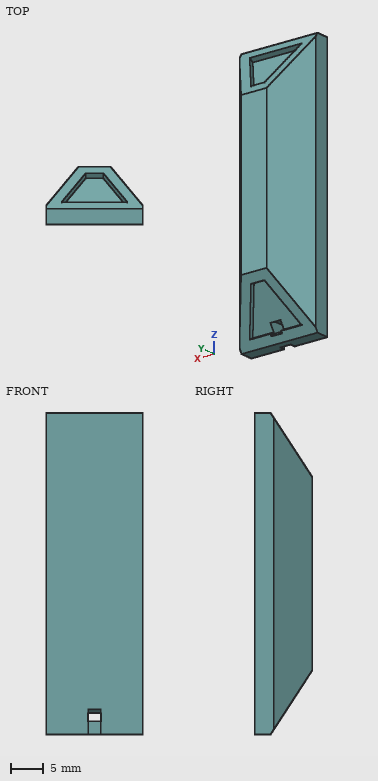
import cadquery as cq
import math

length = 50
width = 15
thickness = 9
side_height = 3
ridge_width = 5

end_height = 2.5
end_run = 10

recess_margin = 1.8
recess_depth = 0.95

groove_width = 2
groove_depth = 1
loop_inner_radius = 2.1
loop_outer_radius = 3.9
loop_center_y = 1.5


def bar_body():
    """Cross-section along Z, with both ends cut to the slope."""
    cross_section = [
        (-width / 2, 0),
        (width / 2, 0),
        (width / 2, side_height),
        (ridge_width / 2, thickness),
        (-ridge_width / 2, thickness),
        (-width / 2, side_height),
    ]
    side_outline = [
        (0, 0),
        (end_height, 0),
        (thickness, end_run),
        (thickness, length - end_run),
        (end_height, length),
        (0, length),
    ]
    bar = cq.Workplane("XY").polyline(cross_section).close().extrude(length)
    side_block = cq.Workplane("YZ").polyline(side_outline).close().extrude(width / 2, both=True)
    return bar.intersect(side_block)


def top_recess():
    """Trapezoid recess, square to the sloped top end face."""
    end_rise = thickness - end_height
    slope_length = math.hypot(end_rise, end_run)
    slope_stretch = slope_length / end_rise

    side_taper = (width - ridge_width) / 2 / (thickness - side_height) / slope_stretch
    side_inset = recess_margin * math.hypot(1, side_taper)

    low = recess_margin
    high = slope_length - recess_margin
    low_half_width = ridge_width / 2 + (slope_length - low) * side_taper - side_inset
    high_half_width = ridge_width / 2 + (slope_length - high) * side_taper - side_inset

    end_plane = cq.Plane(
        origin=(0, end_height, length),
        xDir=(1, 0, 0),
        normal=(0, end_run, end_rise),
    )
    outline = [
        (-low_half_width, low),
        (low_half_width, low),
        (high_half_width, high),
        (-high_half_width, high),
    ]
    return cq.Workplane(end_plane).polyline(outline).close().extrude(-recess_depth)


def loop_passage():
    """Front groove that runs into a hole curving back to the bottom recess."""
    groove = cq.Workplane("XY").box(
        groove_width, groove_depth, loop_outer_radius, centered=(True, False, False)
    )
    curved_hole = (
        cq.Workplane("YZ")
        .moveTo(groove_depth, loop_inner_radius)
        .lineTo(loop_center_y, loop_inner_radius)
        .radiusArc((loop_center_y + loop_inner_radius, 0), loop_inner_radius)
        .lineTo(loop_center_y + loop_outer_radius, 0)
        .radiusArc((loop_center_y, loop_outer_radius), -loop_outer_radius)
        .lineTo(groove_depth, loop_outer_radius)
        .close()
        .extrude(groove_width / 2, both=True)
    )
    return groove.union(curved_hole)


recess = top_recess()
bottom_recess = recess.mirror("XY", (0, 0, length / 2))
result = bar_body().cut(recess).cut(bottom_recess).cut(loop_passage())